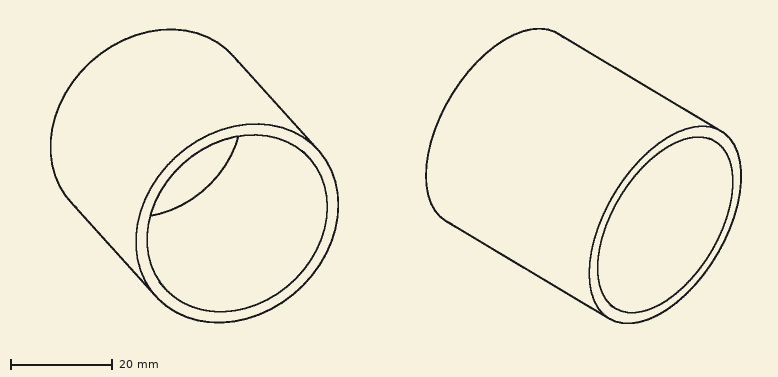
import cadquery as cq

length = 45.0
outer_diameter = 43.3
wall_thickness = 2.4
inner_diameter = outer_diameter - 2 * wall_thickness

result = (
    cq.Workplane("YZ")
    .circle(outer_diameter / 2)
    .circle(inner_diameter / 2)
    .extrude(length)
)